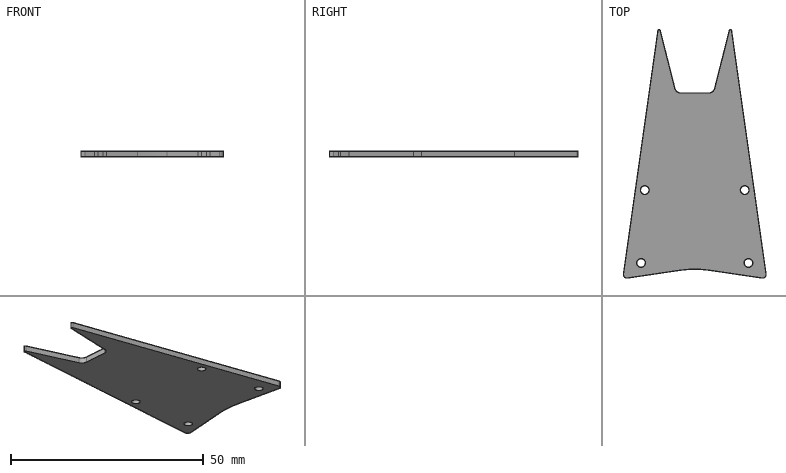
import cadquery as cq

thickness = 1.5

base_corner = (18.75, -0.2)
prong_tip = (9.4, 66.0)
notch_corner = (4.85, 48.15)
base_peak = (0, 2.6)

base_corner_radius = 1.0
prong_tip_radius = 0.33
notch_radius = 1.6
base_peak_radius = 25.85

hole_diameter = 2.2
hole_places = [(13.95, 3.95), (13.0, 22.9)]


def mirrored(point):
    """Reflect a point across the centre line."""
    x, y = point
    return (-x, y)


def round_corners(body, corners, radius):
    """Round the upright edges standing at the given outline corners."""
    for x, y in corners:
        edge = cq.selectors.NearestToPointSelector((x, y, thickness / 2))
        body = body.edges("|Z").edges(edge).fillet(radius)
    return body


def make_plate():
    """Tapered plate with two prongs and a shallow peaked base."""
    right_side = [base_corner, prong_tip, notch_corner]
    left_side = [mirrored(point) for point in reversed(right_side)]
    outline = [base_peak] + right_side + left_side
    body = cq.Workplane("XY").polyline(outline).close().extrude(thickness)

    body = round_corners(body, [base_peak], base_peak_radius)
    for corner, radius in (
        (base_corner, base_corner_radius),
        (prong_tip, prong_tip_radius),
        (notch_corner, notch_radius),
    ):
        body = round_corners(body, [corner, mirrored(corner)], radius)
    return body


def drill_holes(body):
    """Drill the mirrored pairs of through holes."""
    places = hole_places + [mirrored(place) for place in hole_places]
    holes = cq.Workplane("XY").pushPoints(places).circle(hole_diameter / 2).extrude(thickness)
    return body.cut(holes)


result = drill_holes(make_plate())